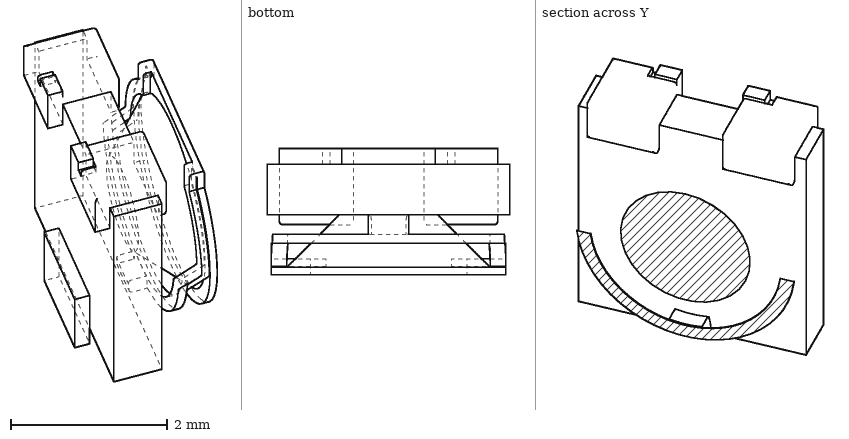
import cadquery as cq
import math


BODY_WIDTH = 3.1
BODY_HEIGHT = 3.25
BODY_BOTTOM = 0.3
BODY_THICKNESS = 0.65
PAD_THICKNESS = 0.2
BODY_BACK = PAD_THICKNESS + BODY_THICKNESS

PAD_WIDTH = 1.2
PAD_HEIGHT = 0.95

CAP_WIDTH = 0.95
CAP_INNER_X = 0.45
CAP_OUTER_X = CAP_INNER_X + CAP_WIDTH
CAP_BOTTOM = 3.15
CAP_TOP = 3.75
CAP_BACK = 0.975
CAP_ROUND = 0.05
TAB_WIDTH = 0.3
TAB_TOP = 3.8
NOTCH_WIDTH = 0.1
NOTCH_DEPTH = 0.1

SHEET = 0.1
FOLD_GAP = 0.01
ROTOR_BACK = 1.62
PLATE_FRONT = ROTOR_BACK - SHEET
RING_BACK = PLATE_FRONT - FOLD_GAP
RING_FRONT = RING_BACK - SHEET
AXIS_Z = 1.85
ROTOR_RADIUS = 1.5
RING_HOLE_RADIUS = 1.3
HEAD_HALF_WIDTH = 1.0
HEAD_HEIGHT = 1.445
HEAD_TOP = AXIS_Z + HEAD_HEIGHT
SLOT_HALF_WIDTH = 0.8
FOLD_ROUND = 0.05

PICK = 0.005

STEP_DEPTH = 0.31
STEP_SLOPE = 30
STEP_RISE = 0.03
STEP_START_Z = AXIS_Z + STEP_RISE
BEND_ROUND = 0.035
LOWER_RING_INSET = 0.01
LOWER_RING_RADIUS = ROTOR_RADIUS - LOWER_RING_INSET
LOWER_RING_FRONT = RING_FRONT - STEP_DEPTH
LOWER_RING_THICKNESS = 0.118
LOWER_RING_BACK = LOWER_RING_FRONT + LOWER_RING_THICKNESS
FINGER_HALF_ANGLE = 10
FINGER_ROUND = 0.05


def block(x0, x1, y0, y1, z0, z1):
    """Box between two opposite corners."""
    return cq.Workplane("XY").box(x1 - x0, y1 - y0, z1 - z0, centered=False).translate((x0, y0, z0))


def disc(radius, y0, y1):
    """Round disc about the rotor axis, between two depths."""
    return cq.Workplane("XZ", origin=(0, y0, AXIS_Z)).circle(radius).extrude(y0 - y1)


def end_cap():
    """Cap on the +X side, with its rounded edges, the raised tab and the notch beside it."""
    cap = block(CAP_INNER_X, CAP_OUTER_X, 0, CAP_BACK, CAP_BOTTOM, CAP_TOP)
    cap = cap.edges(">Y or >Z").fillet(CAP_ROUND)
    tab_outer_x = CAP_INNER_X + TAB_WIDTH
    tab = block(CAP_INNER_X, tab_outer_x, 0, PAD_THICKNESS, CAP_BOTTOM, TAB_TOP)
    notch_outer_x = tab_outer_x + NOTCH_WIDTH
    notch_bottom = CAP_TOP - NOTCH_DEPTH
    notch = block(tab_outer_x, notch_outer_x, 0, PAD_THICKNESS, notch_bottom, TAB_TOP)
    return cap.union(tab).cut(notch)


def rotor_outline(y0, y1):
    """Large arc closed at the top by a straight-sided head, between two depths."""
    shoulder_height = math.sqrt(ROTOR_RADIUS**2 - HEAD_HALF_WIDTH**2)
    return (
        cq.Workplane("XZ", origin=(0, y0, AXIS_Z))
        .moveTo(-HEAD_HALF_WIDTH, HEAD_HEIGHT)
        .lineTo(-HEAD_HALF_WIDTH, shoulder_height)
        .threePointArc((0, -ROTOR_RADIUS), (HEAD_HALF_WIDTH, shoulder_height))
        .lineTo(HEAD_HALF_WIDTH, HEAD_HEIGHT)
        .close()
        .extrude(y0 - y1)
    )


def ring_sheet():
    """Bent sheet of the ring over the full rotor width, folded back to the plate at the top."""
    fall = math.tan(math.radians(STEP_SLOPE))
    front_drop = STEP_DEPTH * fall
    back_drop = (RING_BACK - LOWER_RING_BACK) * fall
    mitre = SHEET * math.tan(math.radians(90 - STEP_SLOPE) / 2)
    bend_z = STEP_START_Z
    sheet = (
        cq.Workplane("YZ", origin=(-ROTOR_RADIUS, 0, 0))
        .moveTo(PLATE_FRONT, HEAD_TOP)
        .lineTo(RING_FRONT, HEAD_TOP)
        .lineTo(RING_FRONT, bend_z)
        .lineTo(LOWER_RING_FRONT, bend_z - front_drop)
        .lineTo(LOWER_RING_FRONT, 0)
        .lineTo(LOWER_RING_BACK, 0)
        .lineTo(LOWER_RING_BACK, bend_z - mitre - back_drop)
        .lineTo(RING_BACK, bend_z - mitre)
        .lineTo(RING_BACK, HEAD_TOP - SHEET)
        .lineTo(PLATE_FRONT, HEAD_TOP - SHEET)
        .close()
        .extrude(2 * ROTOR_RADIUS)
    )
    bend_zone = cq.selectors.BoxSelector(
        (-ROTOR_RADIUS, LOWER_RING_FRONT - SHEET, bend_z - front_drop - 2 * mitre),
        (ROTOR_RADIUS, PLATE_FRONT, bend_z + mitre),
    )
    return sheet.edges("|X").edges(bend_zone).fillet(BEND_ROUND)


def annulus(outer_radius, inner_radius, y0, y1):
    """Flat ring about the rotor axis, between two depths."""
    return disc(outer_radius, y0, y1).cut(disc(inner_radius, y0, y1))


def contact_ring():
    """Ring that is open at the top between two arms; its lower half steps away from the plate."""
    hole = disc(RING_HOLE_RADIUS, LOWER_RING_FRONT, PLATE_FRONT)
    slot = block(-SLOT_HALF_WIDTH, SLOT_HALF_WIDTH, LOWER_RING_FRONT, PLATE_FRONT, AXIS_Z, HEAD_TOP)
    outline = rotor_outline(LOWER_RING_FRONT, PLATE_FRONT).cut(hole).cut(slot)
    trim = annulus(ROTOR_RADIUS, LOWER_RING_RADIUS, LOWER_RING_FRONT, LOWER_RING_BACK)
    return ring_sheet().intersect(outline).cut(trim)


def contact_finger():
    """Short sector of the ring at the bottom that reaches forward to the body."""
    reach = 2 * ROTOR_RADIUS
    side = reach * math.tan(math.radians(FINGER_HALF_ANGLE))
    wedge = (
        cq.Workplane("XZ", origin=(0, BODY_BACK, AXIS_Z))
        .polyline([(0, 0), (side, -reach), (-side, -reach)])
        .close()
        .extrude(BODY_BACK - LOWER_RING_FRONT)
    )
    inner_radius = RING_HOLE_RADIUS - LOWER_RING_INSET
    finger = annulus(LOWER_RING_RADIUS, inner_radius, BODY_BACK, LOWER_RING_FRONT).intersect(wedge)
    return finger.faces("<Y").edges("%CIRCLE").fillet(FINGER_ROUND)


def cone():
    """Cone with 45 degree flanks from the rotor plate down to the body."""
    length = PLATE_FRONT - BODY_BACK
    tip_radius = RING_HOLE_RADIUS - length
    return (
        cq.Workplane("YZ", origin=(0, 0, AXIS_Z))
        .moveTo(BODY_BACK, 0)
        .lineTo(BODY_BACK, tip_radius)
        .lineTo(PLATE_FRONT, RING_HOLE_RADIUS)
        .lineTo(PLATE_FRONT, 0)
        .close()
        .revolve(360, (0, 0), (1, 0))
    )


def rotor():
    """Plate, contact ring, finger and cone in one piece, rounded along the top fold."""
    sheet = rotor_outline(PLATE_FRONT, ROTOR_BACK).union(contact_ring())
    front_fold = cq.selectors.BoxSelector(
        (-HEAD_HALF_WIDTH, RING_FRONT - PICK, HEAD_TOP - PICK),
        (HEAD_HALF_WIDTH, RING_FRONT + PICK, HEAD_TOP + PICK),
    )
    sheet = sheet.edges(front_fold).fillet(FOLD_ROUND)
    sheet = sheet.edges("|X and >Y and >Z").fillet(FOLD_ROUND)
    return sheet.union(contact_finger()).union(cone())


half_body = BODY_WIDTH / 2
body_top = BODY_BOTTOM + BODY_HEIGHT
body = block(-half_body, half_body, PAD_THICKNESS, BODY_BACK, BODY_BOTTOM, body_top)
half_pad = PAD_WIDTH / 2
centre_pad = block(-half_pad, half_pad, 0, PAD_THICKNESS, 0, PAD_HEIGHT)
right_cap = end_cap()
left_cap = right_cap.mirror("YZ")
result = body.union(centre_pad).union(right_cap).union(left_cap).union(rotor())